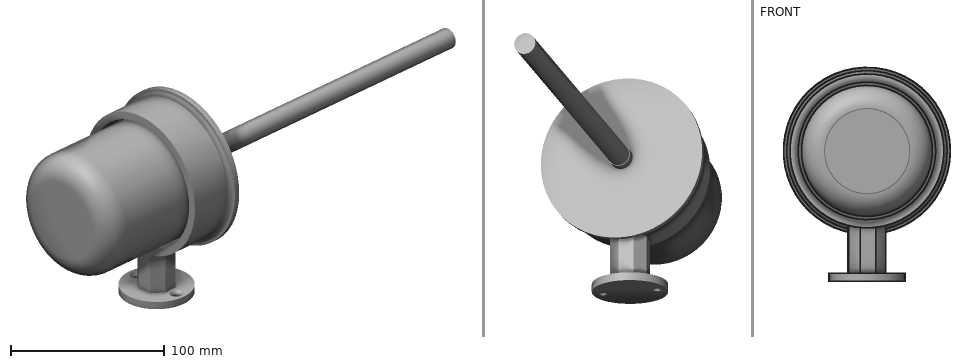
import cadquery as cq

total_length = 356.0

cup_radius = 42.7
cup_end_round = 15.0
rim_seat_radius = 46.0
rim_top_radius = 52.5
rim_thickness = 3.0

ring_start = 71.5
ring_length = 30.0
ring_outer_radius = 50.2
ring_bore_radius = 45.0
post_corner_radius = 13.0
post_sides = 8
post_turn = 3.0
flange_radius = 25.0
flange_thickness = 5.5
flange_bottom = -85.0
screw_spacing = 36.3
screw_hole_diameter = 5.0
countersink_diameter = 9.3
countersink_angle = 90.0

lid_radius = 54.5
lid_thickness = 4.0
handle_radius = 7.0
collar_radius = 7.5
collar_length = 7.0

ring_end = ring_start + ring_length
ring_middle = ring_start + ring_length / 2
lid_start = ring_end + rim_thickness
lid_end = lid_start + lid_thickness
handle_start = lid_end + collar_length


def disc(radius, start, end):
    """Cylinder on the Y axis between two Y positions."""
    return cq.Workplane("XZ", origin=(0, start, 0)).circle(radius).extrude(start - end)


def make_cup():
    """Round-ended cup whose conical rim rests on the ring."""
    body = disc(cup_radius, 0, lid_start).faces("<Y").edges().fillet(cup_end_round)
    rim = (
        cq.Workplane("XZ", origin=(0, ring_end, 0)).circle(rim_seat_radius)
        .workplane(offset=-rim_thickness).circle(rim_top_radius)
        .loft(ruled=True)
    )
    return body.union(rim)


def make_bracket():
    """Ring carried by an octagonal post on a round flange with two screw holes."""
    ring = disc(ring_outer_radius, ring_start, ring_end)
    flange_plane = cq.Workplane("XY", origin=(0, ring_middle, flange_bottom))
    flange = (
        flange_plane.circle(flange_radius).extrude(flange_thickness)
        .faces(">Z").workplane(origin=(0, ring_middle, 0))
        .rarray(screw_spacing, 3.5, 2, 1)
        .cskHole(screw_hole_diameter, countersink_diameter, countersink_angle)
    )
    post_angle = 180 / post_sides + post_turn
    post = (
        flange_plane.transformed(rotate=(0, 0, post_angle))
        .polygon(post_sides, 2 * post_corner_radius)
        .extrude(-flange_bottom - ring_bore_radius)
    )
    bore = disc(ring_bore_radius, ring_start, ring_end)
    return ring.cut(bore).union(post).union(flange)


def make_lid():
    """Flat lid with a long handle rising from a short collar."""
    plate = disc(lid_radius, lid_start, lid_end)
    collar = disc(collar_radius, lid_end, handle_start)
    handle = disc(handle_radius, handle_start, total_length)
    return plate.union(collar).union(handle)


cup = make_cup()
bracket = make_bracket()
lid = make_lid()

result = cq.Compound.makeCompound([cup.val(), bracket.val(), lid.val()])